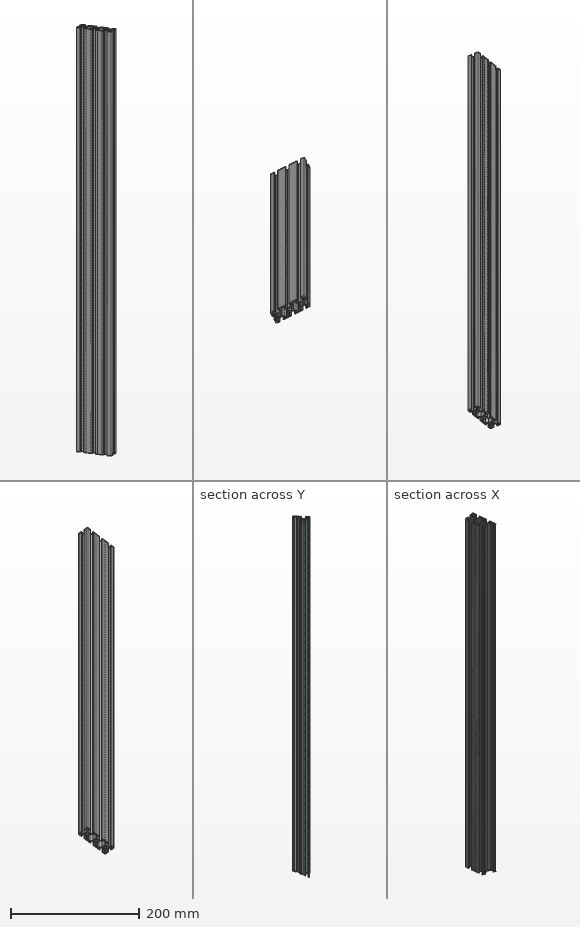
import cadquery as cq

length = 690.0
turn_angle = 30.0
cell_size = 20.0
cell_count = 3
corner_radius = 1.05

bore_diameter = 4.2
core_width = 8.0
web_thickness = 1.5
lip_thickness = 1.9
slot_width = 6.0
pocket_width = 12.5

half_cell = cell_size / 2
half_core = core_width / 2
lip_inside = half_cell - lip_thickness
web_offset = web_thickness / 2 * 2 ** 0.5

cell_centers = [(i - (cell_count - 1) / 2) * cell_size for i in range(cell_count)]
cavity_centers = [x + half_cell for x in cell_centers[:-1]]


def extrude_outline(points):
    return cq.Workplane("XY").polyline(points).close().extrude(length)


def slot_cutter(cell_x, angle):
    """T-slot opening toward +Y of a cell, turned by angle about the cell center."""
    half_slot = slot_width / 2
    half_pocket = pocket_width / 2
    right_side = [
        (half_slot, half_cell),
        (half_slot, lip_inside),
        (half_pocket, lip_inside),
        (half_pocket, half_pocket + web_offset),
        (half_core - web_offset, half_core),
    ]
    left_side = [(-x, y) for x, y in reversed(right_side)]
    slot = extrude_outline(right_side + left_side)
    return slot.rotate((0, 0, 0), (0, 0, 1), angle).translate((cell_x, 0, 0))


def cavity_cutter(center_x):
    """Closed cavity between two cores, bounded by the diagonal webs and the outer walls."""
    side_x = half_cell - half_core
    side_y = half_core - web_offset
    end_x = half_cell - lip_inside - web_offset
    outline = [
        (side_x, side_y),
        (end_x, lip_inside),
        (-end_x, lip_inside),
        (-side_x, side_y),
        (-side_x, -side_y),
        (-end_x, -lip_inside),
        (end_x, -lip_inside),
        (side_x, -side_y),
    ]
    return extrude_outline([(center_x + x, y) for x, y in outline])


profile = (
    cq.Workplane("XY")
    .rect(cell_count * cell_size, cell_size)
    .extrude(length)
    .edges("|Z")
    .fillet(corner_radius)
)

for cell_x in cell_centers:
    for angle in (0, 180):
        profile = profile.cut(slot_cutter(cell_x, angle))

profile = profile.cut(slot_cutter(cell_centers[0], 90))
profile = profile.cut(slot_cutter(cell_centers[-1], -90))

for cavity_x in cavity_centers:
    profile = profile.cut(cavity_cutter(cavity_x))

bores = (
    cq.Workplane("XY")
    .pushPoints([(x, 0) for x in cell_centers])
    .circle(bore_diameter / 2)
    .extrude(length)
)
profile = profile.cut(bores)

result = profile.rotate((0, 0, 0), (0, 0, 1), turn_angle)